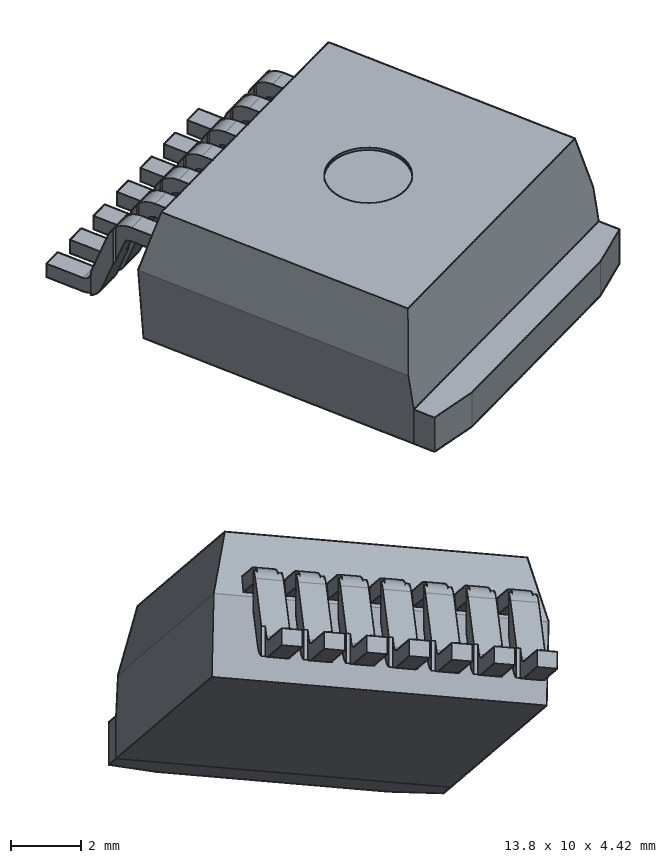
import cadquery as cq
import math

TOTAL_LENGTH = 13.85
WIDTH = 10.0
HEIGHT = 4.42

CREASE_HEIGHT = 2.42
CREASE_FRONT_X = 3.61
BASE_FRONT_X = 3.8
TOP_INSET = 0.48
TOP_BACK_X = 12.35
TOP_FRONT_X = CREASE_FRONT_X + TOP_INSET

MARK_DIAMETER = 2.5
MARK_X = 8.23
MARK_DEPTH = 0.1

TAB_START_X = 12.85
TAB_HEIGHT = 1.26
TAB_CORNER_LENGTH = 0.3
TAB_CORNER_WIDTH = 1.52

LEAD_COUNT = 7
LEAD_ROW_SPAN = 7.62
LEAD_PITCH = LEAD_ROW_SPAN / (LEAD_COUNT - 1)
LEAD_THICKNESS = 0.5
LEAD_WIDTH = 0.61
LEAD_WIDE_WIDTH = 0.85
WIDE_START_X = 1.57
WIDE_END_X = 2.31
FOOT_LENGTH = 1.22
SHOULDER_BOTTOM = 2.53
BEND_ANGLE = math.radians(70)
INNER_RADIUS = LEAD_THICKNESS / 2
OUTER_RADIUS = INNER_RADIUS + LEAD_THICKNESS


def make_housing():
    """Block with a leaning lead side and tab side, and flanks that lean in above the crease."""
    side_outline = [
        (BASE_FRONT_X, 0),
        (CREASE_FRONT_X, CREASE_HEIGHT),
        (TOP_FRONT_X, HEIGHT),
        (TOP_BACK_X, HEIGHT),
        (TAB_START_X, TAB_HEIGHT),
        (TAB_START_X, 0),
    ]
    end_outline = [
        (-WIDTH / 2, 0),
        (WIDTH / 2, 0),
        (WIDTH / 2, CREASE_HEIGHT),
        (WIDTH / 2 - TOP_INSET, HEIGHT),
        (TOP_INSET - WIDTH / 2, HEIGHT),
        (-WIDTH / 2, CREASE_HEIGHT),
    ]
    side_prism = cq.Workplane("XZ").polyline(side_outline).close().extrude(WIDTH / 2, both=True)
    end_prism = cq.Workplane("YZ").polyline(end_outline).close().extrude(TOTAL_LENGTH)
    mark = (
        cq.Workplane("XY", origin=(MARK_X, 0, HEIGHT - MARK_DEPTH))
        .circle(MARK_DIAMETER / 2)
        .extrude(MARK_DEPTH)
    )
    return side_prism.intersect(end_prism).cut(mark)


def make_tab():
    """Flat tab against the back of the housing, with its two outer corners cut off."""
    corner_x = TOTAL_LENGTH - TAB_CORNER_LENGTH
    corner_y = WIDTH / 2 - TAB_CORNER_WIDTH
    outline = [
        (TAB_START_X, -WIDTH / 2),
        (corner_x, -WIDTH / 2),
        (TOTAL_LENGTH, -corner_y),
        (TOTAL_LENGTH, corner_y),
        (corner_x, WIDTH / 2),
        (TAB_START_X, WIDTH / 2),
    ]
    return cq.Workplane("XY").polyline(outline).close().extrude(TAB_HEIGHT)


def housing_front_x(z):
    """X of the leaning lead side of the housing at a height above the crease."""
    return CREASE_FRONT_X + TOP_INSET * (z - CREASE_HEIGHT) / (HEIGHT - CREASE_HEIGHT)


def point_on_circle(centre, radius, angle):
    return (centre[0] + radius * math.sin(angle), centre[1] + radius * math.cos(angle))


def lead_profile():
    """Side outline of a lead: foot, lower bend, slope, upper bend and shoulder."""
    shoulder_top = SHOULDER_BOTTOM + LEAD_THICKNESS
    radius_sum = INNER_RADIUS + OUTER_RADIUS
    slope_rise = SHOULDER_BOTTOM - radius_sum * (1 - math.cos(BEND_ANGLE))
    run = radius_sum * math.sin(BEND_ANGLE) + slope_rise / math.tan(BEND_ANGLE)

    lower_centre = (FOOT_LENGTH, LEAD_THICKNESS + INNER_RADIUS)
    upper_centre = (FOOT_LENGTH + run, SHOULDER_BOTTOM - INNER_RADIUS)
    lower_end = math.pi - BEND_ANGLE
    lower_middle = math.pi - BEND_ANGLE / 2
    upper_end = -BEND_ANGLE
    upper_middle = -BEND_ANGLE / 2

    return (
        cq.Workplane("XZ")
        .moveTo(0, 0)
        .lineTo(FOOT_LENGTH, 0)
        .threePointArc(
            point_on_circle(lower_centre, OUTER_RADIUS, lower_middle),
            point_on_circle(lower_centre, OUTER_RADIUS, lower_end),
        )
        .lineTo(*point_on_circle(upper_centre, INNER_RADIUS, upper_end))
        .threePointArc(
            point_on_circle(upper_centre, INNER_RADIUS, upper_middle),
            (upper_centre[0], SHOULDER_BOTTOM),
        )
        .lineTo(housing_front_x(SHOULDER_BOTTOM), SHOULDER_BOTTOM)
        .lineTo(housing_front_x(shoulder_top), shoulder_top)
        .lineTo(upper_centre[0], shoulder_top)
        .threePointArc(
            point_on_circle(upper_centre, OUTER_RADIUS, upper_middle),
            point_on_circle(upper_centre, OUTER_RADIUS, upper_end),
        )
        .lineTo(*point_on_circle(lower_centre, INNER_RADIUS, lower_end))
        .threePointArc(
            point_on_circle(lower_centre, INNER_RADIUS, lower_middle),
            (FOOT_LENGTH, LEAD_THICKNESS),
        )
        .lineTo(0, LEAD_THICKNESS)
        .close()
    )


def make_lead(centre_y):
    """Gull-wing lead whose sloping middle stretch is wider than its foot and shoulder."""
    narrow = lead_profile().extrude(LEAD_WIDTH / 2, both=True)
    wide_zone = (
        cq.Workplane("XY", origin=((WIDE_START_X + WIDE_END_X) / 2, 0, HEIGHT / 2))
        .box(WIDE_END_X - WIDE_START_X, LEAD_WIDE_WIDTH, HEIGHT)
    )
    wide = lead_profile().extrude(LEAD_WIDE_WIDTH / 2, both=True).intersect(wide_zone)
    return narrow.union(wide).translate((0, centre_y, 0))


housing = make_housing()
tab = make_tab()
leads = [make_lead(i * LEAD_PITCH - LEAD_ROW_SPAN / 2) for i in range(LEAD_COUNT)]

result = cq.Compound.makeCompound([housing.val(), tab.val(), *[lead.val() for lead in leads]])